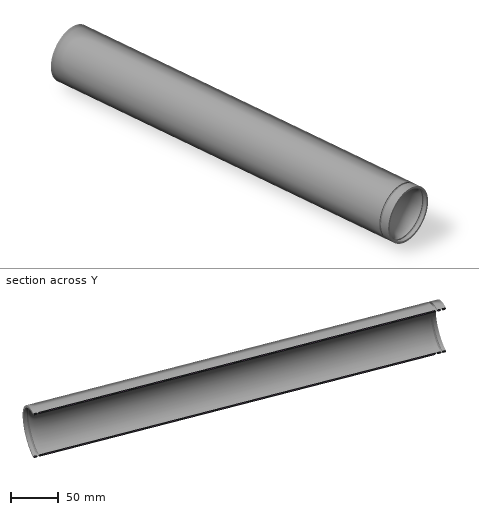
import cadquery as cq

tube_length = 457.92
outer_diameter = 65.0
bore_diameter = 60.0

inner_groove_diameter = 63.0
inner_groove_width = 2.2
inner_groove_setback = 3.8

outer_groove_diameter = 62.0
outer_groove_width = 2.5
outer_groove_setback = 9.6


def ring(outer, inner, start_x, length):
    """Ring about the X axis, with the given diameters, running toward +X from start_x."""
    profile = cq.Workplane("YZ", origin=(start_x, 0, 0)).circle(outer / 2).circle(inner / 2)
    return profile.extrude(length)


def plain_tube():
    return ring(outer_diameter, bore_diameter, 0, tube_length)


def inner_groove(start_x):
    return ring(inner_groove_diameter, bore_diameter, start_x, inner_groove_width)


def outer_groove():
    start_x = tube_length - outer_groove_setback - outer_groove_width
    return ring(outer_diameter, outer_groove_diameter, start_x, outer_groove_width)


result = plain_tube().cut(outer_groove())

far_groove_start = tube_length - inner_groove_setback - inner_groove_width
for groove_start in (inner_groove_setback, far_groove_start):
    result = result.cut(inner_groove(groove_start))